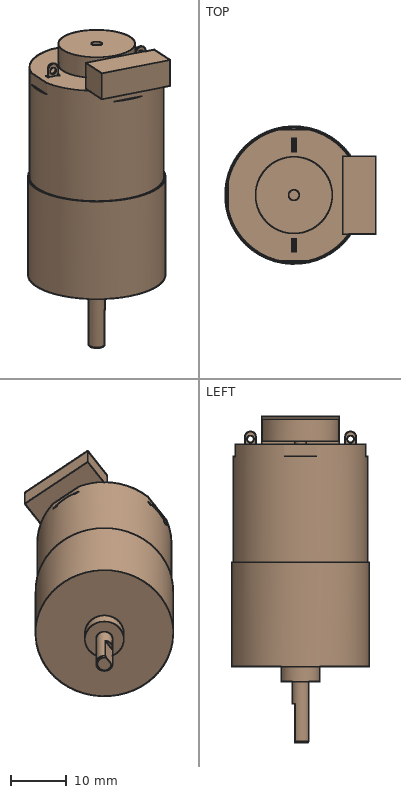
import cadquery as cq
import math


GEARBOX_DIAMETER = 24.8
GEARBOX_LENGTH = 18.8
MOTOR_DIAMETER = 24.2
MOTOR_LENGTH = 21.2
MOTOR_TOP = GEARBOX_LENGTH + MOTOR_LENGTH

FLAT_COUNT = 4
FLAT_WIDTH = 5.7
FLAT_HEIGHT = 2.2
FLAT_DISTANCE = math.sqrt((MOTOR_DIAMETER / 2) ** 2 - (FLAT_WIDTH / 2) ** 2)

BOSS_DIAMETER = 7.0
BOSS_LENGTH = 2.7
SHAFT_DIAMETER = 3.0
SHAFT_LENGTH = 11.0
SHAFT_CHAMFER = 0.25
SHAFT_FLAT_LENGTH = 7.0
SHAFT_FLAT_DISTANCE = 1.0
SHAFT_END = -BOSS_LENGTH - SHAFT_LENGTH

DISC_DIAMETER = 13.8
DISC_THICKNESS = 4.0
DISC_GAP = 0.5
DISC_BORE = 1.9
DISC_BORE_DEPTH = 0.6
REAR_SHAFT_DIAMETER = 2.0

CONNECTOR_LENGTH = 6.0
CONNECTOR_WIDTH = 14.0
CONNECTOR_HEIGHT = 5.0
CONNECTOR_OUTER_X = 14.75

TERMINAL_OFFSET = 9.0
TERMINAL_WIDTH = 2.0
TERMINAL_THICKNESS = 0.3
TERMINAL_HOLE_DIAMETER = 1.2
TERMINAL_HOLE_HEIGHT = 0.92
TERMINAL_ARC_HEIGHT = 1.3

SLOT_LENGTH = 2.4
SLOT_WIDTH = 0.8
SLOT_DEPTH = 0.5


def cylinder(diameter, bottom, length):
    """Cylinder on the Z axis, starting at height bottom."""
    return cq.Workplane("XY").workplane(offset=bottom).circle(diameter / 2).extrude(length)


def make_motor_can():
    can = cylinder(MOTOR_DIAMETER, GEARBOX_LENGTH, MOTOR_LENGTH)
    cutter = cq.Workplane("XY").box(
        MOTOR_DIAMETER, MOTOR_DIAMETER, FLAT_HEIGHT, centered=(False, True, False)
    ).translate((FLAT_DISTANCE, 0, MOTOR_TOP - FLAT_HEIGHT))
    for index in range(FLAT_COUNT):
        can = can.cut(cutter.rotate((0, 0, 0), (0, 0, 1), index * 360 / FLAT_COUNT))
    return can


def make_output_shaft():
    """Shaft with a chamfered tip and a flat on its +Y side."""
    shaft = cylinder(SHAFT_DIAMETER, SHAFT_END, SHAFT_LENGTH)
    shaft = shaft.faces("<Z").chamfer(SHAFT_CHAMFER)
    flat_cutter = cq.Workplane("XY").box(
        SHAFT_DIAMETER, SHAFT_DIAMETER, SHAFT_FLAT_LENGTH, centered=(True, False, False)
    ).translate((0, SHAFT_FLAT_DISTANCE, SHAFT_END))
    return shaft.cut(flat_cutter)


def make_encoder_disc():
    """Disc with a shallow bore, carried clear of the can on the rear shaft."""
    disc_bottom = MOTOR_TOP + DISC_GAP
    disc_top = disc_bottom + DISC_THICKNESS
    disc = cylinder(DISC_DIAMETER, disc_bottom, DISC_THICKNESS)
    bore = cylinder(DISC_BORE, disc_top - DISC_BORE_DEPTH, DISC_BORE_DEPTH)
    rear_shaft = cylinder(REAR_SHAFT_DIAMETER, MOTOR_TOP, DISC_GAP)
    return disc.cut(bore).union(rear_shaft)


def make_connector():
    return cq.Workplane("XY").box(
        CONNECTOR_LENGTH, CONNECTOR_WIDTH, CONNECTOR_HEIGHT, centered=(False, True, False)
    ).translate((CONNECTOR_OUTER_X - CONNECTOR_LENGTH, 0, MOTOR_TOP))


def make_terminal_slot(y):
    return cq.Workplane("XY").box(
        SLOT_WIDTH, SLOT_LENGTH, SLOT_DEPTH, centered=(True, True, False)
    ).translate((0, y, MOTOR_TOP - SLOT_DEPTH))


def make_terminal(y):
    """Round-topped lug in the YZ plane, standing on its slot floor and pierced by a wire hole."""
    half_width = TERMINAL_WIDTH / 2
    foot_z = MOTOR_TOP - SLOT_DEPTH
    hole_z = MOTOR_TOP + TERMINAL_HOLE_HEIGHT
    arc_z = MOTOR_TOP + TERMINAL_ARC_HEIGHT
    lug = (
        cq.Workplane("YZ")
        .moveTo(y - half_width, foot_z)
        .lineTo(y + half_width, foot_z)
        .lineTo(y + half_width, arc_z)
        .threePointArc((y, arc_z + half_width), (y - half_width, arc_z))
        .close()
        .extrude(TERMINAL_THICKNESS / 2, both=True)
    )
    hole = (
        cq.Workplane("YZ")
        .center(y, hole_z)
        .circle(TERMINAL_HOLE_DIAMETER / 2)
        .extrude(TERMINAL_THICKNESS, both=True)
    )
    return lug.cut(hole)


result = cylinder(GEARBOX_DIAMETER, 0, GEARBOX_LENGTH)
result = result.union(make_motor_can())
result = result.union(cylinder(BOSS_DIAMETER, -BOSS_LENGTH, BOSS_LENGTH))
result = result.union(make_output_shaft())
result = result.union(make_encoder_disc())
result = result.union(make_connector())
for side in (-1, 1):
    result = result.cut(make_terminal_slot(side * TERMINAL_OFFSET))
    result = result.union(make_terminal(side * TERMINAL_OFFSET))